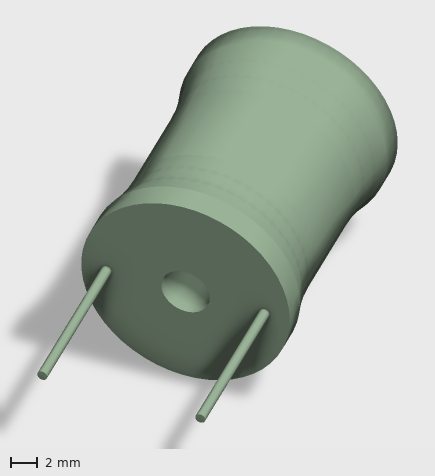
import cadquery as cq
import math

flange_diameter = 16.76
waist_diameter = 15.24
bore_diameter = 3.9
body_length = 21.34
flange_thickness = 2.03
waist_length = 7.75

lead_diameter = 0.8
lead_length = 12.7
lead_spacing = 12.7

flange_radius = flange_diameter / 2
waist_radius = waist_diameter / 2
bore_radius = bore_diameter / 2

flare_length = (body_length - waist_length) / 2 - flange_thickness
flare_rise = flange_radius - waist_radius
flare_radius = (flare_length**2 + flare_rise**2) / (2 * flare_rise)
flare_middle_run = flare_radius * math.sin(math.asin(flare_length / flare_radius) / 2)
flare_middle_radius = waist_radius + flare_radius - math.sqrt(flare_radius**2 - flare_middle_run**2)

front_flange_y = flange_thickness
waist_start_y = front_flange_y + flare_length
waist_end_y = waist_start_y + waist_length
rear_flange_y = body_length - flange_thickness


def make_body():
    """Flanged, waisted spool with a through bore."""
    profile = (
        cq.Workplane("XY")
        .moveTo(bore_radius, 0)
        .lineTo(flange_radius, 0)
        .lineTo(flange_radius, front_flange_y)
        .threePointArc(
            (flare_middle_radius, waist_start_y - flare_middle_run),
            (waist_radius, waist_start_y),
        )
        .lineTo(waist_radius, waist_end_y)
        .threePointArc(
            (flare_middle_radius, waist_end_y + flare_middle_run),
            (flange_radius, rear_flange_y),
        )
        .lineTo(flange_radius, body_length)
        .lineTo(bore_radius, body_length)
        .close()
    )
    return profile.revolve(360, (0, 0, 0), (0, 1, 0))


def make_leads():
    """Pair of wires standing on the Y = 0 face, either side of the bore."""
    return (
        cq.Workplane("XZ")
        .pushPoints([(side * lead_spacing / 2, 0) for side in (-1, 1)])
        .circle(lead_diameter / 2)
        .extrude(lead_length)
    )


result = make_body().union(make_leads())